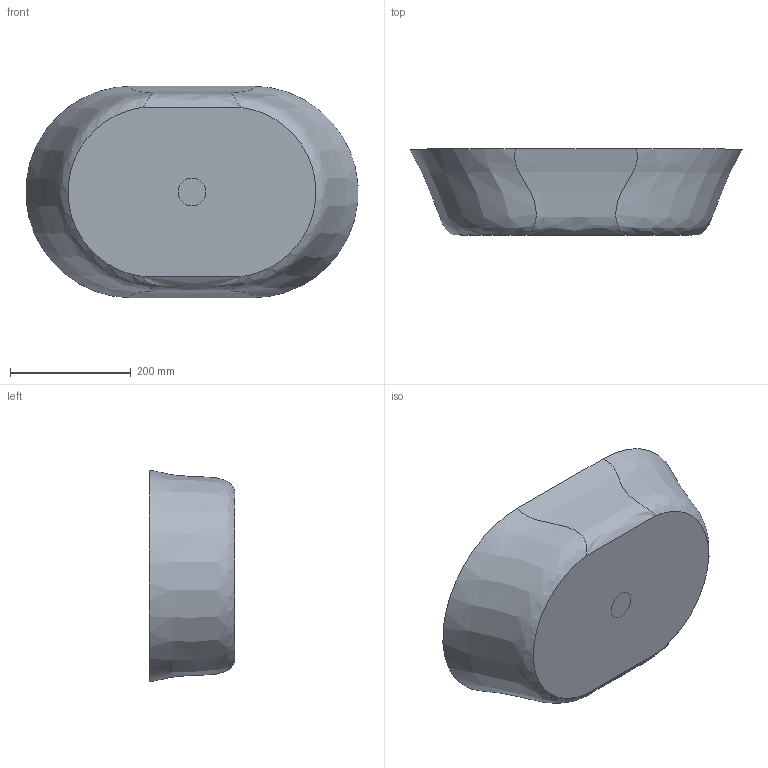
import cadquery as cq
import math


rim_length = 550.0
rim_height = 350.0
depth = 142.0
rim_y = depth / 2

base_half_length = 205.0
base_half_height = 140.0
base_half_straight = 81.0

flare_depth = 55.0
flare_half_length = 249.0
flare_half_height = 165.0
shoulder_depth = 108.0
shoulder_half_length = 228.5
shoulder_half_height = 162.7

round_mid_depth = 127.0
round_mid_half_length = 219.0
round_mid_half_straight = 69.0

drain_diameter = 46.0
drain_plug_depth = 10.0


def shoulder_round_half_height(at_depth):
    """Half height on the arc that leaves the shoulder parallel to Y and ends at the base."""
    drop = shoulder_half_height - base_half_height
    run = depth - shoulder_depth
    radius = (drop**2 + run**2) / (2 * drop)
    return shoulder_half_height - radius + math.sqrt(radius**2 - (at_depth - shoulder_depth) ** 2)


def oval(at_depth, half_length, half_height, half_straight):
    """Closed oval at a depth below the rim: two straight sides joined by circular end arcs."""
    y = rim_y - at_depth
    top_left = cq.Vector(-half_straight, y, half_height)
    top_right = cq.Vector(half_straight, y, half_height)
    bottom_right = cq.Vector(half_straight, y, -half_height)
    bottom_left = cq.Vector(-half_straight, y, -half_height)
    right_tip = cq.Vector(half_length, y, 0)
    left_tip = cq.Vector(-half_length, y, 0)
    return cq.Wire.assembleEdges(
        [
            cq.Edge.makeLine(top_left, top_right),
            cq.Edge.makeThreePointArc(top_right, right_tip, bottom_right),
            cq.Edge.makeLine(bottom_right, bottom_left),
            cq.Edge.makeThreePointArc(bottom_left, left_tip, top_left),
        ]
    )


def stadium(at_depth, half_length, half_height):
    """Oval whose end arcs are half circles tangent to the straight sides."""
    return oval(at_depth, half_length, half_height, half_length - half_height)


def basin_body():
    """Smooth loft from the rim, through the flared wall and rounded edge, to the base."""
    sections = [
        stadium(0, rim_length / 2, rim_height / 2),
        stadium(flare_depth, flare_half_length, flare_half_height),
        stadium(shoulder_depth, shoulder_half_length, shoulder_half_height),
        oval(
            round_mid_depth,
            round_mid_half_length,
            shoulder_round_half_height(round_mid_depth),
            round_mid_half_straight,
        ),
        oval(depth, base_half_length, base_half_height, base_half_straight),
    ]
    return cq.Workplane(obj=cq.Solid.makeLoft(sections))


def drain_plug():
    """Disc at the centre of the base, flush with its surface."""
    base_centre = cq.Vector(0, rim_y - depth, 0)
    into_body = cq.Vector(0, 1, 0)
    disc = cq.Solid.makeCylinder(drain_diameter / 2, drain_plug_depth, base_centre, into_body)
    return cq.Workplane(obj=disc)


result = basin_body().union(drain_plug(), clean=False).solids()